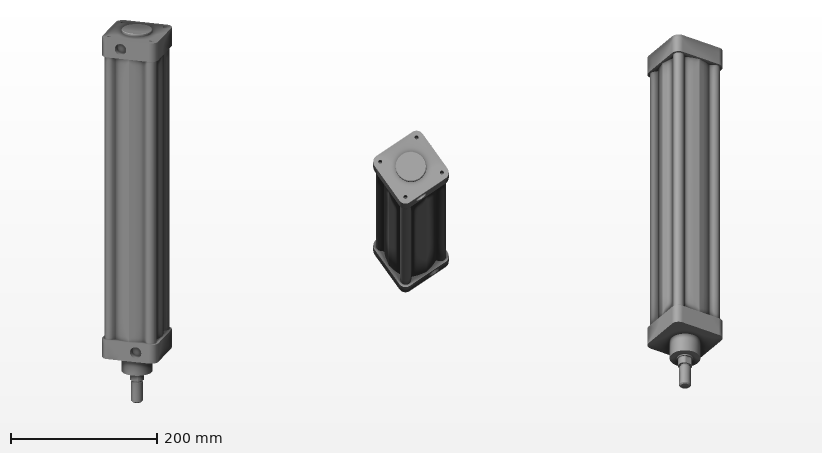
import cadquery as cq
import math

total_length = 541.0
cap_side = 80.0
cap_corner_radius = 10.5
cap_height = 27.0

boss_radius = 21.0
rear_boss_height = 4.0
rear_boss_chamfer = 0.8
gland_height = 27.0
seal_radius = 11.5
seal_height = 1.5

barrel_length = 411.0
lobe_offset = 29.0
lobe_radius = 7.5
web_end_x = 20.0
web_fillet = 1.5
ridge_half_width = 8.5
ridge_slope = math.radians(12)
bulge_radius = 42.0

port_radius = 8.0
port_offset = 11.0
port_depth = 11.0
screw_offset = 30.5
screw_hole_radius = 2.5
screw_hole_depth = 11.0

rod_radius = 10.0
flat_distance = 8.5
thread_radius = 8.0
neck_radius = 6.5
neck_length = 3.0
thread_length = 29.0
thread_chamfer = 1.5

rear_cap_top = total_length - rear_boss_height
rear_cap_bottom = rear_cap_top - cap_height
front_cap_top = rear_cap_bottom - barrel_length
front_cap_bottom = front_cap_top - cap_height
gland_bottom = front_cap_bottom - gland_height
seal_bottom = gland_bottom - seal_height
neck_top = thread_length + neck_length


def cylinder(radius, bottom, height):
    return cq.Workplane("XY").workplane(offset=bottom).circle(radius).extrude(height)


def cap_block(bottom, port_x):
    """Square end cap with rounded corners and an air port in its -Y face."""
    block = cq.Workplane("XY").workplane(offset=bottom).rect(cap_side, cap_side).extrude(cap_height)
    block = block.edges("|Z").fillet(cap_corner_radius)
    port = (
        cq.Workplane("XZ", origin=(port_x, -cap_side / 2, bottom + cap_height / 2))
        .circle(port_radius)
        .extrude(-port_depth)
    )
    return block.cut(port)


def make_rear_cap():
    cap = cap_block(rear_cap_bottom, -port_offset)
    boss = cylinder(boss_radius, rear_cap_top, rear_boss_height).faces(">Z").chamfer(rear_boss_chamfer)
    cap = cap.union(boss)
    screw_holes = (
        cq.Workplane("XY")
        .workplane(offset=rear_cap_top)
        .rect(2 * screw_offset, 2 * screw_offset, forConstruction=True)
        .vertices()
        .circle(screw_hole_radius)
        .extrude(-screw_hole_depth)
    )
    return cap.cut(screw_holes)


def make_front_cap():
    cap = cap_block(front_cap_bottom, port_offset)
    cap = cap.union(cylinder(boss_radius, gland_bottom, gland_height))
    return cap.union(cylinder(seal_radius, seal_bottom, seal_height))


def turned(point, quarter_turns):
    """Turn a profile point about the axis by whole quarter turns."""
    x, y = point
    for _ in range(quarter_turns):
        x, y = -y, x
    return x, y


def make_barrel():
    """Extrusion with four ridged, bulging walls and a round lobe on each corner."""
    lobe_side = lobe_radius / math.sqrt(2)
    lobe_start = (lobe_offset - lobe_side, -lobe_offset - lobe_side)
    lobe_tip = (lobe_offset + lobe_side, -lobe_offset - lobe_side)
    lobe_end = (lobe_offset + lobe_side, -lobe_offset + lobe_side)
    web_end = (web_end_x, lobe_start[1] + lobe_start[0] - web_end_x)

    bulge_center_y = web_end[1] + math.sqrt(bulge_radius**2 - web_end_x**2)

    def bulge_point(x):
        return x, bulge_center_y - math.sqrt(bulge_radius**2 - x**2)

    ridge_end = bulge_point(ridge_half_width)
    bulge_middle = bulge_point((ridge_half_width + web_end_x) / 2)
    ridge_peak = (0, ridge_end[1] - ridge_half_width * math.tan(ridge_slope))

    def mirrored(point):
        return -point[0], point[1]

    profile = cq.Workplane("XY").workplane(offset=front_cap_top).moveTo(*mirrored(web_end))
    for side in range(4):
        profile = (
            profile.threePointArc(turned(mirrored(bulge_middle), side), turned(mirrored(ridge_end), side))
            .lineTo(*turned(ridge_peak, side))
            .lineTo(*turned(ridge_end, side))
            .threePointArc(turned(bulge_middle, side), turned(web_end, side))
            .lineTo(*turned(lobe_start, side))
            .threePointArc(turned(lobe_tip, side), turned(lobe_end, side))
            .lineTo(*turned(mirrored(web_end), side + 1))
        )
    barrel = profile.close().extrude(barrel_length)

    middle_z = front_cap_top + barrel_length / 2
    for side in range(4):
        for corner in (web_end, mirrored(web_end)):
            corner_point = (*turned(corner, side), middle_z)
            barrel = barrel.edges(cq.selectors.NearestToPointSelector(corner_point)).fillet(web_fillet)
    return barrel


def make_rod():
    """Rod end with two wrench flats, a thread relief neck and a plain thread cylinder."""
    shank_length = seal_bottom - neck_top
    shank = cylinder(rod_radius, neck_top, shank_length)
    flats = (
        cq.Workplane("XY")
        .workplane(offset=neck_top)
        .rect(2 * rod_radius, 2 * flat_distance)
        .extrude(shank_length)
    )
    neck = cylinder(neck_radius, thread_length, neck_length)
    thread = cylinder(thread_radius, 0, thread_length).faces("<Z").chamfer(thread_chamfer)
    return shank.intersect(flats).union(neck).union(thread)


rear_cap = make_rear_cap()
front_cap = make_front_cap()
barrel = make_barrel()
rod = make_rod()

result = cq.Compound.makeCompound([rear_cap.val(), front_cap.val(), barrel.val(), rod.val()])